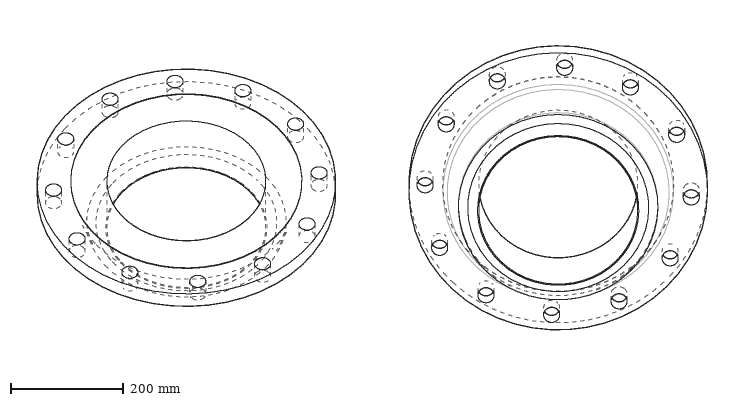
import cadquery as cq
import math

flange_radius = 266.5
total_height = 127.0
bore_radius = 142.0

raised_face_radius = 206.5
raised_face_height = 1.5
flange_thickness = 34.0

hub_top_radius = 200.0
hub_end_radius = 178.0
hub_end_depth = 102.5
hub_root_fillet = 8.0

band_length = 9.0
weld_land = 2.0
bevel_top_radius = 161.5
bevel_angle = 37.5

bolt_count = 12
bolt_circle_radius = 238.0
bolt_hole_diameter = 29.0

flange_top = total_height - raised_face_height
flange_bottom = flange_top - flange_thickness
hub_end = total_height - hub_end_depth
band_end = hub_end - band_length
weld_end_radius = bore_radius + weld_land
bevel_top = (bevel_top_radius - weld_end_radius) * math.tan(math.radians(bevel_angle))


def make_flange():
    """Solid ring with its plate at the top and its weld end at the bottom."""
    half_section = [
        (bore_radius, 0),
        (weld_end_radius, 0),
        (bevel_top_radius, bevel_top),
        (hub_end_radius, band_end),
        (hub_end_radius, hub_end),
        (hub_top_radius, flange_bottom),
        (flange_radius, flange_bottom),
        (flange_radius, flange_top),
        (raised_face_radius, flange_top),
        (raised_face_radius, total_height),
        (bore_radius, total_height),
    ]
    ring = cq.Workplane("XZ").polyline(half_section).close().revolve(360, (0, 0, 0), (0, 1, 0))

    root_edge = cq.selectors.RadiusNthSelector(0)
    plate_underside = ring.faces(cq.selectors.NearestToPointSelector(
        (bolt_circle_radius, 0, flange_bottom)))
    return plate_underside.edges(root_edge).fillet(hub_root_fillet)


def make_bolt_holes():
    """Cutters for the bolt holes through the plate; one hole lies on +X."""
    return (
        cq.Workplane("XY", origin=(0, 0, flange_bottom))
        .polarArray(bolt_circle_radius, 0, 360, bolt_count)
        .circle(bolt_hole_diameter / 2)
        .extrude(flange_thickness)
    )


result = make_flange().cut(make_bolt_holes())